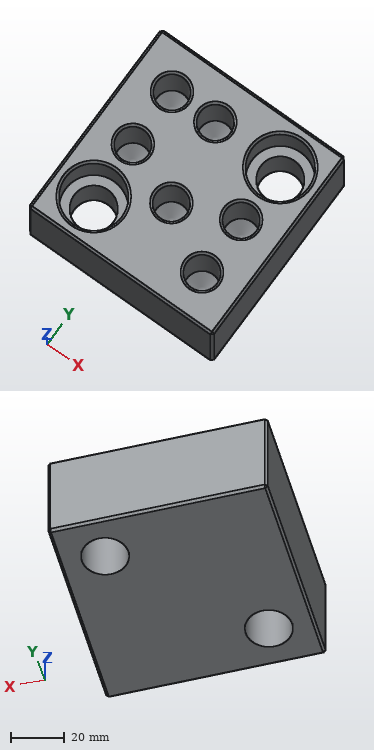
import cadquery as cq
import math

side = 85.0
height = 40.0
edge_chamfer = 1.0

pitch = 25.0
mouth_chamfer = 1.0

blind_diameter = 14.0
blind_depth = 25.0
drill_point_angle = 118.0
back_hole_x = -5.0
middle_hole_y = -10.0
blind_positions = [
    (-pitch, pitch),
    (back_hole_x, pitch),
    (-pitch, 0),
    (0, middle_hole_y),
    (pitch, 0),
    (pitch, -pitch),
]

through_diameter = 18.0
counterbore_diameter = 26.0
counterbore_depth = 18.0
counterbored_positions = [(-pitch, -pitch), (pitch, pitch)]


def make_block():
    """Block standing on Z = 0, with every edge chamfered."""
    block = cq.Workplane("XY").box(side, side, height, centered=(True, True, False))
    return block.edges().chamfer(edge_chamfer)


def revolve_cutter(profile):
    """Turn a half profile of (radius, z) points fully around the Z axis."""
    return cq.Workplane("XZ").polyline(profile).close().revolve(axisStart=(0, 0), axisEnd=(0, 1))


def blind_hole_cutter():
    """Blind hole with a conical bottom and a chamfered mouth."""
    radius = blind_diameter / 2
    cone_top_z = height - blind_depth
    tip_z = cone_top_z - radius / math.tan(math.radians(drill_point_angle / 2))
    return revolve_cutter([
        (0, tip_z),
        (radius, cone_top_z),
        (radius, height - mouth_chamfer),
        (radius + mouth_chamfer, height),
        (0, height),
    ])


def counterbored_hole_cutter():
    """Through hole with a flat-seated counterbore and a chamfered mouth."""
    through_radius = through_diameter / 2
    bore_radius = counterbore_diameter / 2
    seat_z = height - counterbore_depth
    return revolve_cutter([
        (0, 0),
        (through_radius, 0),
        (through_radius, seat_z),
        (bore_radius, seat_z),
        (bore_radius, height - mouth_chamfer),
        (bore_radius + mouth_chamfer, height),
        (0, height),
    ])


def cut_at(body, cutter, positions):
    """Cut a copy of the cutter from the body at each (x, y) position."""
    for x, y in positions:
        body = body.cut(cutter.translate((x, y, 0)))
    return body


result = make_block()
result = cut_at(result, blind_hole_cutter(), blind_positions)
result = cut_at(result, counterbored_hole_cutter(), counterbored_positions)